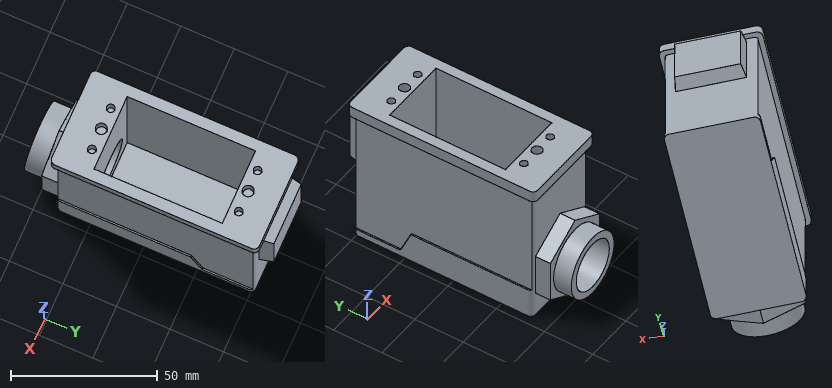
import cadquery as cq
import math

total_height = 61.0
total_length = 92.7

plate_width = 36.4
plate_length = 77.7
plate_thickness = 4.6
plate_corner_radius = 2.0

body_width = 33.7
body_length = 74.0
body_corner_radius = 2.0
body_height = total_height - plate_thickness

recess_depth = 0.6
band_high = 12.4
band_low = 2.8
band_slope_low_y = 17.7
band_slope_high_y = 13.35

cavity_width = 28.1
cavity_length = 47.9
floor_thickness = 2.8

hole_row_y = 27.4
hole_pitch = 8.0
center_hole_diameter = 4.1
side_hole_diameter = 3.0
hole_depth = plate_thickness

entry_z = 19.0
nut_across_corners = 34.6
nut_face_y = -43.2
tube_diameter = 26.05
tube_face_y = -50.5
bore_diameter = 20.0

boss_face_size = 23.2
boss_face_y = total_length + tube_face_y
boss_center_z = 41.6
boss_taper = 10.0

body_end_y = body_length / 2


def rounded_block(width, length, height, radius, base_z):
    """Upright block centred on the Z axis with rounded vertical edges."""
    block = cq.Workplane("XY").workplane(offset=base_z).rect(width, length).extrude(height)
    return block.edges("|Z").fillet(radius)


def end_plane(y):
    """Sketch plane on the cable entry axis, facing -Y."""
    return cq.Workplane("XZ", origin=(0, y, entry_z))


def side_recess(side):
    """Cutter for the stepped recess on the +X (side = 1) or -X (side = -1) wall."""
    start_x = side * (body_width / 2 - recess_depth)
    outline = [
        (-body_end_y, band_high),
        (band_slope_high_y, band_high),
        (band_slope_low_y, band_low),
        (body_end_y, band_low),
        (body_end_y, body_height),
        (-body_end_y, body_height),
    ]
    return cq.Workplane("YZ", origin=(start_x, 0, 0)).polyline(outline).close().extrude(side * recess_depth)


def cable_entry():
    """Nut and tube, both reaching the end wall of the body."""
    nut = end_plane(-body_end_y).transformed(rotate=(0, 0, 90)).polygon(6, nut_across_corners)
    nut = nut.extrude(-nut_face_y - body_end_y)
    tube = end_plane(-body_end_y).circle(tube_diameter / 2).extrude(-tube_face_y - body_end_y)
    return nut.union(tube)


def boss():
    """Square boss that widens from its outer face towards the body."""
    boss_length = boss_face_y - body_end_y
    root_size = boss_face_size + 2 * boss_length * math.tan(math.radians(boss_taper))
    face = cq.Workplane("XZ", origin=(0, boss_face_y, boss_center_z)).rect(boss_face_size, boss_face_size)
    return face.workplane(offset=boss_length).rect(root_size, root_size).loft()


def hole_row(y):
    """Three blind holes across the plate, the middle one larger."""
    top = cq.Workplane("XY", origin=(0, y, total_height))
    center_hole = top.circle(center_hole_diameter / 2).extrude(-hole_depth)
    side_holes = top.pushPoints([(-hole_pitch, 0), (hole_pitch, 0)])
    return center_hole.union(side_holes.circle(side_hole_diameter / 2).extrude(-hole_depth))


result = rounded_block(body_width, body_length, body_height, body_corner_radius, 0)
for side in (-1, 1):
    result = result.cut(side_recess(side))

plate = rounded_block(plate_width, plate_length, plate_thickness, plate_corner_radius, body_height)
result = result.union(plate).union(cable_entry()).union(boss())

cavity = cq.Workplane("XY", origin=(0, 0, floor_thickness)).rect(cavity_width, cavity_length)
result = result.cut(cavity.extrude(total_height - floor_thickness))

bore_length = -cavity_length / 2 - tube_face_y
result = result.cut(end_plane(tube_face_y).circle(bore_diameter / 2).extrude(-bore_length))

for row_y in (-hole_row_y, hole_row_y):
    result = result.cut(hole_row(row_y))